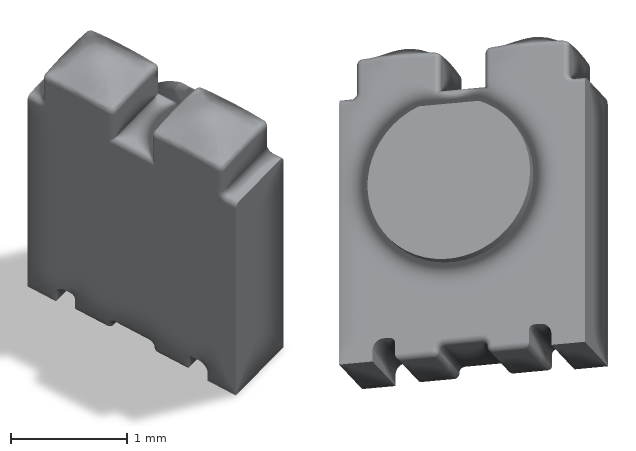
import cadquery as cq
import math

body_width = 2.2
body_depth = 0.7
shoulder_height = 2.4
edge_radius = 0.05

total_height = 2.9
dome_height = 0.15
stud_inner_x = 0.2
stud_outer_x = 0.95
dome_grid_steps = 12
dome_margin = 1.2

relief_inner_x = 0.6
relief_outer_x = 0.8
relief_height = 0.2
relief_outer_radius = 2 * edge_radius

notch_half_width = 0.218
notch_depth = 0.102

button_center_z = 1.455
button_radius = 0.728
button_base_radius = 0.585
button_flare_length = 0.302
button_rim_length = 0.1
button_flat_height = 0.675

stud_width = stud_outer_x - stud_inner_x
stud_center_x = (stud_inner_x + stud_outer_x) / 2
dome_base_z = total_height - dome_height
mid_depth = body_depth / 2
sides = (-1, 1)
tolerance = 0.0003


def block(x_min, x_max, z_min, z_max):
    """A full-depth box between two X and two Z limits."""
    size = (x_max - x_min, body_depth, z_max - z_min)
    return cq.Workplane("XY").box(*size, centered=False).translate((x_min, 0, z_min))


def mirrored_block(side, x_inner, x_outer, z_min, z_max):
    """A full-depth box on the -X or +X side of the middle plane."""
    x_min, x_max = sorted((side * x_inner, side * x_outer))
    return block(x_min, x_max, z_min, z_max)


def domed_stud(side):
    """A square stud whose top swells as a product of two cosine arches."""
    def dome_point(u, v):
        rise = dome_height * math.cos(u * math.pi / 2) * math.cos(v * math.pi / 2)
        x = side * stud_center_x + u * stud_width / 2
        y = mid_depth + v * mid_depth
        return cq.Vector(x, y, dome_base_z + rise)

    steps = [dome_margin * (2 * i / dome_grid_steps - 1) for i in range(dome_grid_steps + 1)]
    dome = cq.Face.makeSplineApprox([[dome_point(u, v) for v in steps] for u in steps], tol=tolerance)
    blank = mirrored_block(side, stud_inner_x, stud_outer_x, shoulder_height / 2, total_height + dome_height)
    pieces = blank.val().split(dome).Solids()
    return min(pieces, key=lambda piece: piece.Center().z)


def relief_slot(side):
    """A bottom slot with a large round at its outer top corner and a small one inside."""
    slot = mirrored_block(side, relief_inner_x, relief_outer_x, 0, relief_height)
    outer, inner = (">X", "<X") if side > 0 else ("<X", ">X")
    slot = slot.edges("|Y and >Z").edges(outer).fillet(relief_outer_radius)
    return slot.edges("|Y and >Z").edges(inner).fillet(edge_radius)


def button():
    """A cone flaring backwards into a short rim, with its top sliced flat."""
    back = body_depth + button_flare_length + button_rim_length
    profile = (
        cq.Workplane("XY")
        .moveTo(0, mid_depth)
        .lineTo(button_base_radius, mid_depth)
        .lineTo(button_base_radius, body_depth)
        .lineTo(button_radius, body_depth + button_flare_length)
        .lineTo(button_radius, back)
        .lineTo(0, back)
        .close()
    )
    turned = profile.revolve(360, (0, 0, 0), (0, 1, 0))
    keep = cq.Workplane("XY").box(2 * button_radius, back, 2 * button_radius, centered=(True, False, False))
    keep = keep.translate((0, 0, button_flat_height - 2 * button_radius))
    return turned.intersect(keep).translate((0, 0, button_center_z))


def round_edges(solid, is_wanted):
    """Round every edge whose center passes the test."""
    wanted = [edge for edge in solid.edges().vals() if is_wanted(edge.Center())]
    return solid.newObject(wanted).fillet(edge_radius)


def same(a, b):
    return abs(a - b) < tolerance


def runs_front_to_back(center):
    return same(center.y, mid_depth)


def is_inside_corner(center):
    """Depthwise edges at the outer foot of each stud and at the top of the notch."""
    at_stud_foot = same(abs(center.x), stud_outer_x) and same(center.z, shoulder_height)
    at_notch_top = same(abs(center.x), notch_half_width) and same(center.z, notch_depth)
    return runs_front_to_back(center) and (at_stud_foot or at_notch_top)


def is_top_edge(center):
    """Rims of both domes and the front and back outline from shoulder to shoulder."""
    if runs_front_to_back(center):
        return same(center.z, dome_base_z)
    return center.z > shoulder_height - edge_radius


def is_bottom_edge(center):
    """Front and back outline between the relief slots, and its depthwise outer corners."""
    if runs_front_to_back(center):
        at_tab_corner = same(abs(center.x), relief_inner_x) or same(abs(center.x), notch_half_width)
        return at_tab_corner and same(center.z, 0)
    return abs(center.x) < relief_inner_x - edge_radius and center.z < notch_depth + edge_radius


body = block(-body_width / 2, body_width / 2, 0, shoulder_height)
body = body.cut(block(-notch_half_width, notch_half_width, 0, notch_depth))
for side in sides:
    body = body.union(cq.Workplane(domed_stud(side)))
    body = body.cut(relief_slot(side))

for edge_test in (is_inside_corner, is_top_edge, is_bottom_edge):
    body = round_edges(body, edge_test)

result = body.union(button())